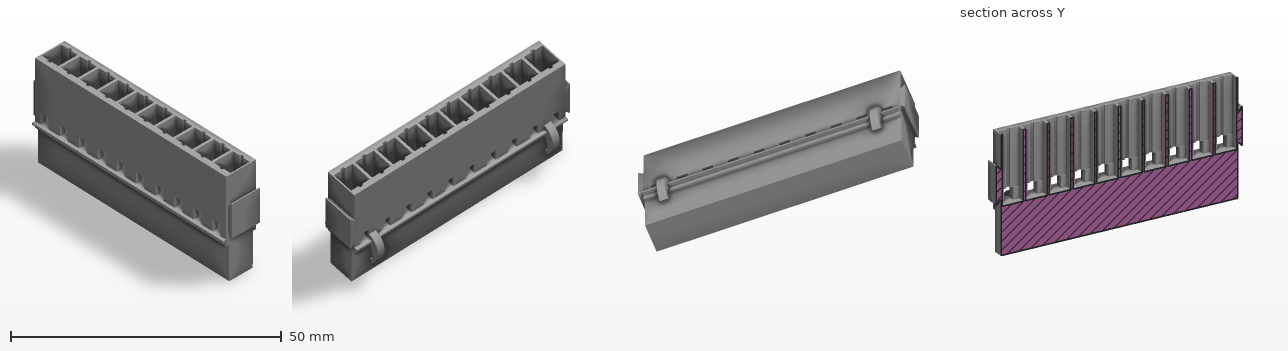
import cadquery as cq
pole_count = 10
length = 50.8
pole_pitch = length / pole_count
height = 24.55

upper_depth = 7.6
base_depth_top = 6.2
base_depth_bottom = 6.0
step_z = 8.45
flange_depth = 9.2
flange_bottom = 9.55
flange_top = 10.05

pocket_width = 4.5
pocket_front = -2.45
pocket_back = 2.55
key_width = 0.85
key_depth = 0.395
window_width = 2.1
window_height = 2.55
ledge_depth = 0.15

total_length = 52.8
plate_projection = (total_length - length) / 2
plate_front = -3.2
plate_back = 3.9
plate_bottom = 10.5
plate_top = 18.5
plate_rim = 0.2
neck_projection = 0.25
neck_inset = 0.7

hook_width = 1.6
hook_spacing = 42.15
hook_top = 11.3
hook_shoulder = (5.45, 10.45)
hook_crown = (6.4, 8.15)
hook_tip = (4.7, 3.95)
tip_round = (4.4, 4.3)
barb_point = (4.2, 4.9)
barb_root = (4.5, 4.95)
throat_middle = (4.8, 6.45)
throat_top = (4.5, 7.95)
root_round = (4.35, 8.3)


def block(x_size, y_min, y_max, z_min, z_max, x_center=0):
    """Box centred on x_center and spanning the given Y and Z ranges."""
    return (
        cq.Workplane("XY")
        .box(x_size, y_max - y_min, z_max - z_min, centered=(True, False, False))
        .translate((x_center, y_min, z_min))
    )


def make_housing():
    """Slightly tapered base, wider upper housing and a thin flange along both long sides."""
    base = (
        cq.Workplane("YZ", origin=(-length / 2, 0, 0))
        .polyline([
            (-base_depth_bottom / 2, 0),
            (base_depth_bottom / 2, 0),
            (base_depth_top / 2, step_z),
            (-base_depth_top / 2, step_z),
        ])
        .close()
        .extrude(length)
    )
    upper = block(length, -upper_depth / 2, upper_depth / 2, step_z, height)
    flange = block(length, -flange_depth / 2, flange_depth / 2, flange_bottom, flange_top)
    return base.union(upper).union(flange)


def make_pole_cut(x):
    """Pocket with front and back key slots, a low back ledge and a window through both walls."""
    window_top = flange_top + window_height
    pocket = block(pocket_width, pocket_front, pocket_back, flange_top, height, x)
    ledge = block(pocket_width, pocket_back - ledge_depth, pocket_back, flange_top, window_top, x)
    keys = block(key_width, pocket_front - key_depth, pocket_back + key_depth, window_top, height, x)
    window = block(window_width, -upper_depth / 2, upper_depth / 2, flange_top, window_top, x)
    return pocket.cut(ledge).union(keys).union(window)


def make_end_plate():
    """Plate on the -X end: short neck, flaring above and below to a flat rim."""
    x_wall = -length / 2
    x_neck = x_wall - neck_projection
    x_outer = x_wall - plate_projection
    x_rim = x_outer + plate_rim
    neck_bottom = plate_bottom + neck_inset
    neck_top = plate_top - neck_inset
    flare = (
        cq.Workplane("XZ", origin=(0, plate_back, 0))
        .polyline([
            (x_neck, neck_bottom),
            (x_rim, plate_bottom),
            (x_outer, plate_bottom),
            (x_outer, plate_top),
            (x_rim, plate_top),
            (x_neck, neck_top),
        ])
        .close()
        .extrude(plate_back - plate_front)
    )
    neck = block(neck_projection, plate_front, plate_back, neck_bottom, neck_top, (x_wall + x_neck) / 2)
    return flare.union(neck)


def make_hook(x):
    """Curved latch arm that leaves the back wall and bends down to a blunt tip."""
    wall = upper_depth / 2
    return (
        cq.Workplane("YZ", origin=(x - hook_width / 2, 0, 0))
        .moveTo(wall, step_z)
        .lineTo(wall, hook_top)
        .threePointArc(hook_shoulder, hook_crown)
        .tangentArcPoint(hook_tip, relative=False)
        .threePointArc(tip_round, barb_point)
        .lineTo(*barb_root)
        .threePointArc(throat_middle, throat_top)
        .threePointArc(root_round, (wall, step_z))
        .close()
        .extrude(hook_width)
    )


result = make_housing()

for pole in range(pole_count):
    result = result.cut(make_pole_cut((pole + 0.5) * pole_pitch - length / 2))

end_plate = make_end_plate()
result = result.union(end_plate).union(end_plate.mirror("YZ"))

for side in (-1, 1):
    result = result.union(make_hook(side * hook_spacing / 2))